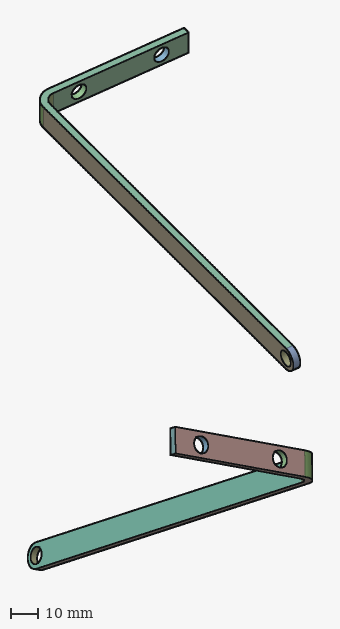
import cadquery as cq

arm_length = 170.1
leg_length = 67.1
strip_width = 10.0
thickness = 3.0
outer_bend_radius = 7.3
inner_bend_radius = outer_bend_radius - thickness

hole_diameter = 6.5
leg_end_to_hole = 12.0
leg_hole_spacing = 36.5

arm_droop = 1.2
leg_rise = 0.2
turn_about_z = 0.15

end_radius = strip_width / 2
arm_hole_x = arm_length - end_radius
outer_leg_hole_y = leg_length - leg_end_to_hole
leg_hole_positions = [outer_leg_hole_y, outer_leg_hole_y - leg_hole_spacing]


def bent_strip():
    """L-shaped strip with its square-end arm stopping at the arm hole centre."""
    arm = cq.Workplane("XY").box(arm_hole_x, thickness, strip_width, centered=(False, False, True))
    leg = cq.Workplane("XY").box(thickness, leg_length, strip_width, centered=(False, False, True))
    strip = arm.union(leg)
    strip = strip.edges(cq.NearestToPointSelector((0, 0, 0))).fillet(outer_bend_radius)
    inner_corner = (thickness, thickness, 0)
    return strip.edges(cq.NearestToPointSelector(inner_corner)).fillet(inner_bend_radius)


def arm_disc(diameter):
    """Disc across the arm's thickness, centred on the rounded end."""
    return cq.Workplane("XZ").center(arm_hole_x, 0).circle(diameter / 2).extrude(-thickness)


def leg_holes():
    """Cutters for the two holes through the leg."""
    return (
        cq.Workplane("YZ")
        .pushPoints([(y, 0) for y in leg_hole_positions])
        .circle(hole_diameter / 2)
        .extrude(thickness)
    )


bracket = bent_strip().union(arm_disc(strip_width)).cut(arm_disc(hole_diameter)).cut(leg_holes())

origin = (0, 0, 0)
result = (
    bracket.rotate(origin, (0, 1, 0), arm_droop)
    .rotate(origin, (1, 0, 0), leg_rise)
    .rotate(origin, (0, 0, 1), turn_about_z)
)